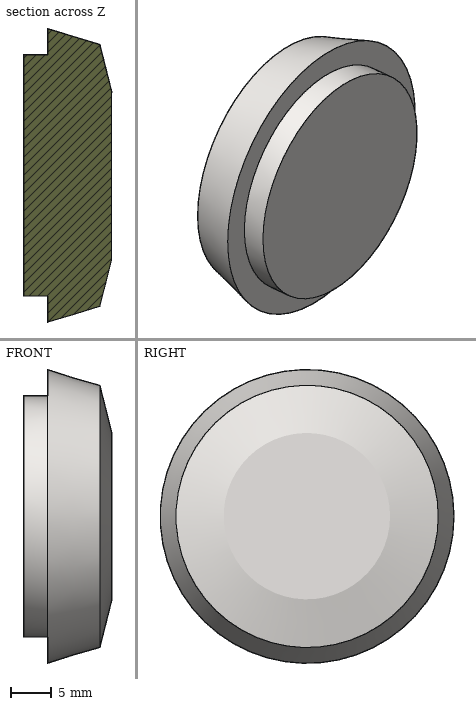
import cadquery as cq

rim_diameter = 36.5
spigot_diameter = 30.0
shoulder_diameter = 32.55
end_face_diameter = 20.65
total_length = 11.0
spigot_length = 3.0
nose_length = 1.5

spigot_x = -total_length / 2
rim_x = spigot_x + spigot_length
end_x = total_length / 2
shoulder_x = end_x - nose_length

profile = (
    cq.Workplane("XY")
    .moveTo(spigot_x, 0)
    .lineTo(spigot_x, spigot_diameter / 2)
    .lineTo(rim_x, spigot_diameter / 2)
    .lineTo(rim_x, rim_diameter / 2)
    .lineTo(shoulder_x, shoulder_diameter / 2)
    .lineTo(end_x, end_face_diameter / 2)
    .lineTo(end_x, 0)
    .close()
)

result = profile.revolve(360, (0, 0, 0), (1, 0, 0))